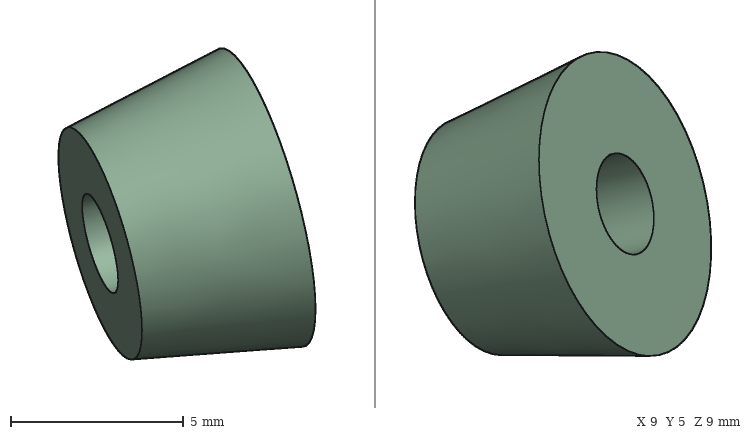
import cadquery as cq

wide_diameter = 9.0
narrow_diameter = 7.0
bore_diameter = 3.0
length = 5.0

wide_radius = wide_diameter / 2
narrow_radius = narrow_diameter / 2
bore_radius = bore_diameter / 2

half_section = (
    cq.Workplane("XY")
    .moveTo(bore_radius, 0)
    .lineTo(narrow_radius, 0)
    .lineTo(wide_radius, length)
    .lineTo(bore_radius, length)
    .close()
)

result = half_section.revolve(360, (0, 0, 0), (0, 1, 0))